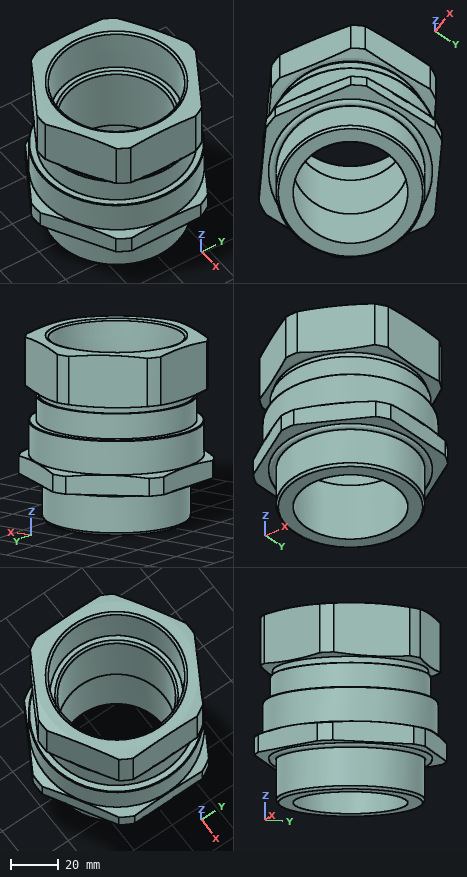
import cadquery as cq
import math


total_height = 79.8
hex_flange_bottom = 19.2
hex_flange_top = 28.05
collar_top = 43.0
neck_bottom = 53.95
head_bottom = 56.8
socket_floor = 59.85
seat_height = hex_flange_top

flange_flat_width = 75.0
flange_corner_radius = 41.5
flange_bevel_angle = 15.0
collar_radius = 37.3
collar_chamfer = 0.3
spigot_radius = 31.5
spigot_chamfer_width = 0.9
spigot_chamfer_height = 1.25
outlet_radius = 24.3

head_flat_width = 70.1
head_corner_radius = 38.85
head_bevel_angle = 13.0
head_face_radius = 34.7
shank_radius = 34.1
neck_radius = 33.1
socket_mouth_radius = 29.0
socket_floor_radius = 28.3
socket_chamfer_width = 1.2
socket_chamfer_height = 0.75
bore_radius = 25.1
bore_chamfer = 1.1

ring_section_radius = 1.6
ring_clearance = 0.04
ring_centre_radius = spigot_radius + ring_clearance + ring_section_radius


def revolve_profile(points):
    """Turn a closed (radius, height) outline about the Z axis."""
    return cq.Workplane("XZ").polyline(points).close().revolve(360, (0, 0), (0, 1))


def bevel_drop(from_radius, to_radius, angle):
    """Height lost by a bevel between two radii."""
    return (to_radius - from_radius) * math.tan(math.radians(angle))


def hexagon(flat_width, bottom, top):
    """Hexagonal prism with two flats facing -X and +X."""
    corner_diameter = flat_width / math.cos(math.radians(30))
    return (
        cq.Workplane("XY", origin=(0, 0, bottom))
        .polygon(6, corner_diameter)
        .extrude(top - bottom)
        .rotate((0, 0, 0), (0, 0, 1), 30)
    )


def make_ring_torus():
    """Round-section ring half sunk into the underside of the flange."""
    return (
        cq.Workplane("XZ")
        .center(ring_centre_radius, hex_flange_bottom)
        .circle(ring_section_radius)
        .revolve(360, (-ring_centre_radius, 0), (-ring_centre_radius, 1))
    )


def make_lower_body():
    """Spigot, hexagonal flange and collar, bored to take the adapter."""
    corner_drop = bevel_drop(collar_radius, flange_corner_radius, flange_bevel_angle)
    flange_envelope = revolve_profile([
        (0, hex_flange_bottom),
        (flange_corner_radius, hex_flange_bottom),
        (flange_corner_radius, hex_flange_top - corner_drop),
        (collar_radius, hex_flange_top),
        (0, hex_flange_top),
    ])
    flange = hexagon(flange_flat_width, hex_flange_bottom, hex_flange_top).intersect(flange_envelope)

    round_parts = revolve_profile([
        (0, 0),
        (spigot_radius - spigot_chamfer_width, 0),
        (spigot_radius, spigot_chamfer_height),
        (spigot_radius, hex_flange_top),
        (collar_radius, hex_flange_top),
        (collar_radius, collar_top - collar_chamfer),
        (collar_radius - collar_chamfer, collar_top),
        (0, collar_top),
    ])
    stepped_bore = revolve_profile([
        (0, 0),
        (outlet_radius, 0),
        (bore_radius, seat_height),
        (shank_radius, seat_height),
        (shank_radius, collar_top),
        (0, collar_top),
    ])
    return flange.union(round_parts).cut(stepped_bore).cut(make_ring_torus()).solids()


def make_adapter():
    """Hexagonal head with a tapered socket, on a necked shank that sits in the collar."""
    corner_drop = bevel_drop(head_face_radius, head_corner_radius, head_bevel_angle)
    head_envelope = revolve_profile([
        (0, head_bottom),
        (head_face_radius, head_bottom),
        (head_corner_radius, head_bottom + corner_drop),
        (head_corner_radius, total_height - corner_drop),
        (head_face_radius, total_height),
        (0, total_height),
    ])
    head = hexagon(head_flat_width, head_bottom, total_height).intersect(head_envelope)

    shank = revolve_profile([
        (0, seat_height),
        (shank_radius, seat_height),
        (shank_radius, neck_bottom),
        (neck_radius, neck_bottom),
        (neck_radius, head_bottom),
        (0, head_bottom),
    ])
    socket_and_bore = revolve_profile([
        (0, seat_height),
        (bore_radius, seat_height),
        (bore_radius, socket_floor - bore_chamfer),
        (bore_radius + bore_chamfer, socket_floor),
        (socket_floor_radius, socket_floor),
        (socket_mouth_radius, total_height - socket_chamfer_height),
        (socket_mouth_radius + socket_chamfer_width, total_height),
        (0, total_height),
    ])
    return head.union(shank).cut(socket_and_bore).solids()


lower_body = make_lower_body()
adapter = make_adapter()
sealing_ring = make_ring_torus()

result = cq.Compound.makeCompound([lower_body.val(), adapter.val(), sealing_ring.val()])